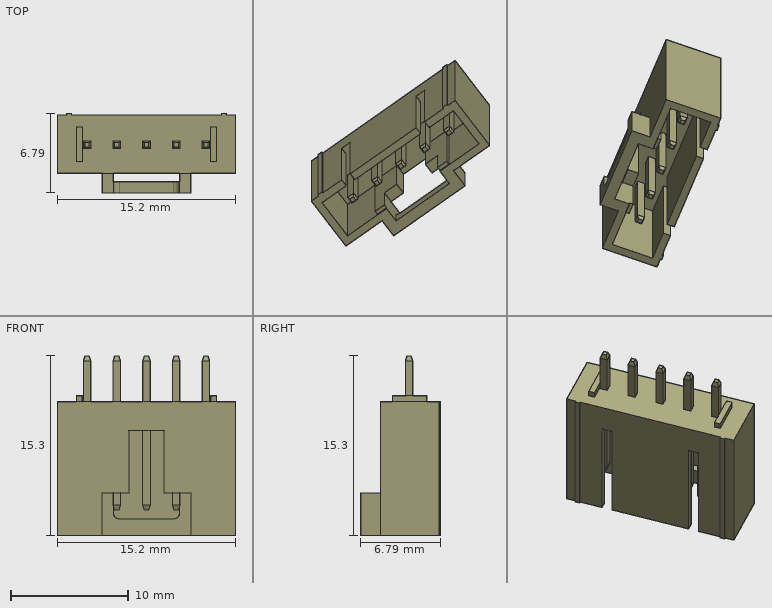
import cadquery as cq

body_length = 15.23
body_height = 11.45
body_depth = 5.0
wall = 0.66
pad_thickness = 0.32
pad_bottom = 0.21

pin_count = 5
pin_pitch = body_length / (pin_count + 1)
pin_width = 0.65
pin_y = 2.45
pin_top = 15.34
pin_bottom = 2.18
tip_height = 0.41
tip_width = 0.37

bar_width = 0.52
bar_depth = 2.95
bar_height = 0.5
bar_spacing = 11.46

rib_width = 0.43
rib_height = 0.12
rib_spacing = 13.22

slot_width = 3.02
slot_top = 8.99
loop_length = 7.58
loop_height = 3.65
loop_reach = 1.67
arm_thickness = 0.97
strap_height = 1.43
strap_thickness = 0.97
corner_radius = 0.5
window_width = loop_length - 2 * arm_thickness

back_slot_width = 0.9
back_slot_offset = 3.95


def block(x_size, y_size, z_size, x=0, y=0, z=0):
    """Box centred on x, starting at y and z."""
    return cq.Workplane("XY").box(x_size, y_size, z_size, centered=(True, False, False)).translate((x, y, z))


def make_housing():
    """Shroud open at the bottom, its front wall thickened by an inner pad behind the latch loop."""
    housing = block(body_length, body_depth, body_height)
    cavity = block(body_length - 2 * wall, body_depth - 2 * wall, slot_top, y=wall)
    pad = block(loop_length, pad_thickness, slot_top - pad_bottom, y=wall, z=pad_bottom)
    housing = housing.cut(cavity).union(pad)

    front_thickness = wall + pad_thickness
    housing = housing.cut(block(slot_width, front_thickness, slot_top))
    housing = housing.cut(block(window_width, front_thickness, loop_height))
    for side in (-1, 1):
        back_slot = block(back_slot_width, wall, slot_top, side * back_slot_offset, body_depth - wall)
        housing = housing.cut(back_slot)
    return housing


def make_latch_loop():
    """U-shaped loop standing out from the front face around the window."""
    loop = block(loop_length, loop_reach, loop_height, y=-loop_reach)
    opening = block(window_width, loop_reach, loop_height, y=-loop_reach, z=strap_height)
    loop = loop.cut(opening.edges("|Y and <Z").fillet(corner_radius))
    gap_depth = loop_reach - strap_thickness
    return loop.cut(block(window_width, gap_depth, loop_height, y=-gap_depth))


def make_tip(direction):
    """Tapered pin end, growing from the origin up (1) or down (-1)."""
    return (
        cq.Workplane("XY")
        .rect(pin_width, pin_width)
        .workplane(offset=direction * tip_height)
        .rect(tip_width, tip_width)
        .loft(ruled=True)
    )


def make_pin(x):
    """Square pin tapered at both ends."""
    shank_bottom = pin_bottom + tip_height
    shank_top = pin_top - tip_height
    shank = block(pin_width, pin_width, shank_top - shank_bottom, x, pin_y - pin_width / 2, shank_bottom)
    shank = shank.union(make_tip(1).translate((x, pin_y, shank_top)))
    return shank.union(make_tip(-1).translate((x, pin_y, shank_bottom)))


def make_standoff(side):
    """Low bar across the top face, centred in the housing depth."""
    front_y = (body_depth - bar_depth) / 2
    return block(bar_width, bar_depth, bar_height, side * bar_spacing / 2, front_y, body_height)


def make_back_rib(side):
    """Full-height rib on the back face."""
    return block(rib_width, rib_height, body_height, side * rib_spacing / 2, body_depth)


result = make_housing().union(make_latch_loop())

first_pin_x = -(pin_count - 1) / 2 * pin_pitch
for index in range(pin_count):
    result = result.union(make_pin(first_pin_x + index * pin_pitch))

for side in (-1, 1):
    result = result.union(make_standoff(side)).union(make_back_rib(side))